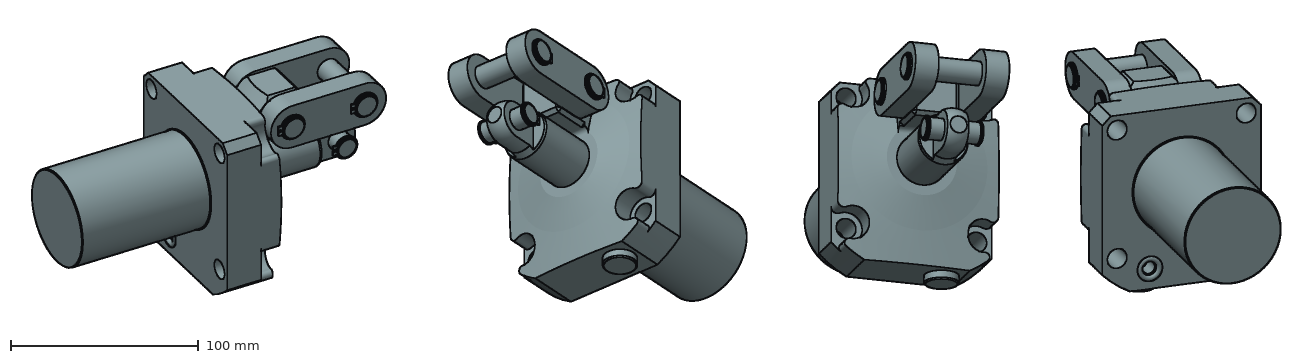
import cadquery as cq
import math


OVERALL_LENGTH = 186.8

FLANGE_HALF = 45.0
FLANGE_BOTTOM = -56.4
FLANGE_CORNER_RADIUS = 63.7
TOP_CHAMFER = 4.9
CYLINDER_RADIUS = 27.5
CYLINDER_LENGTH = 78.8
CYLINDER_CHAMFER = 0.5
COLLAR_RADIUS = 28.0
COLLAR_LENGTH = 0.5

DOME_FLAT = (19.6, 38.5)
DOME_MIDDLE = (38.1, 34.4)
DOME_OUTER = (FLANGE_CORNER_RADIUS, 30.3)

HOLE_OFFSET = 36.6
HOLE_DIAMETER = 11.0
POCKET_FLOOR = 20.7
POCKET_RADIUS = 9.0
POCKET_FILLET = 2.5
LOWER_POCKET_FILLET = 3.4

PORT_X = -18.0
PORT_Z = -45.0
PORT_RADIUS = 3.5
SEAL_RADIUS = 5.6
SEAL_SECTION_RADIUS = 1.7
SEAL_PROUD = 0.5
SEAL_BORE_RADIUS = 7.1
SEAL_BORE_DEPTH = 2.5
PLUG_Y = 17.4
PLUG_RADIUS = 9.3
PLUG_HEIGHT = 4.7
PLUG_CHAMFER = 0.7
PLUG_STEM_RADIUS = 4.7
PLUG_STEM_TOP = -43.1

LINK_RADIUS = 13.0
LINK_THICKNESS = 13.0
LINK_GAP_HALF = 13.3
LINK_Z = FLANGE_HALF - LINK_RADIUS
FULCRUM_Y = 50.5
LINK_END_Y = OVERALL_LENGTH - CYLINDER_LENGTH
LEVER_PIN_Y = LINK_END_Y - LINK_RADIUS
LINK_OUTER = LINK_GAP_HALF + LINK_THICKNESS
LINK_PIN_RADIUS = 6.5
LINK_PIN_HALF = 28.5

RING_THICKNESS = 1.0
RING_WALL = 0.7
EAR_WIDTH = 2.2
EAR_PITCH = 3.4
EAR_REACH = 2.2
PIN_CHAMFER = 0.5

LUG_HALF = LINK_GAP_HALF
LUG_BOTTOM = 17.0
LUG_TOP = FLANGE_HALF
LUG_END_Y = 63.1
LUG_CHAMFER = 2.2
LUG_ROOT_Y = 31.7
LUG_ROOT_FILLET = 2.8
SIDE_ROOT_Y = 35.0
UNDERSIDE_ROOT_Y = DOME_FLAT[1]
UNDERCUT_RADIUS = DOME_MIDDLE[0]
UNDERCUT_Y = 35.9
LINK_CLEARANCE_RADIUS = 14.4

ROD_RADIUS = 14.0
ROD_SHOULDER_Y = 74.5
EYE_RADIUS = 12.1
EYE_NECK_Y = 78.8
EYE_Y = 90.0
EYE_TIP_Y = 101.2
EYE_HALF_THICKNESS = 6.0
EYE_FLAT_START_Y = 75.8
ROD_PIN_RADIUS = 6.0
ROD_PIN_HALF = 16.0
ROD_RING_X = 14.2


def along_y(y_start, x=0, z=0):
    """Sketch plane at y_start with local axes X and Z; a negative extrusion goes to +Y."""
    return cq.Workplane("XZ", origin=(x, y_start, z))


def along_x(x_start):
    """Sketch plane at x_start with local axes Y and Z; an extrusion goes to +X."""
    return cq.Workplane("YZ", origin=(x_start, 0, 0))


def turned(points):
    """Solid of revolution about the Y axis from (radius, Y) points."""
    return cq.Workplane("XY").polyline(points).close().revolve(360, (0, 0), (0, 1))


def arc_middle(center, start, end):
    """Point halfway along the short arc from start to end about center."""
    radius = math.dist(center, start)
    dx = start[0] + end[0] - 2 * center[0]
    dy = start[1] + end[1] - 2 * center[1]
    length = math.hypot(dx, dy)
    return (center[0] + radius * dx / length, center[1] + radius * dy / length)


def point_towards(start, target, distance):
    """Point at the given distance from start on the line to target."""
    ratio = distance / math.dist(start, target)
    return (start[0] + ratio * (target[0] - start[0]), start[1] + ratio * (target[1] - start[1]))


def flange_blank():
    """Flange outline with chamfered upper and arc-shaped lower corners, up to the dome height."""
    corner_z = -math.sqrt(FLANGE_CORNER_RADIUS**2 - FLANGE_HALF**2)
    corner_x = math.sqrt(FLANGE_CORNER_RADIUS**2 - FLANGE_BOTTOM**2)
    chamfer_start = FLANGE_HALF - TOP_CHAMFER
    left_middle = arc_middle((0, 0), (-FLANGE_HALF, corner_z), (-corner_x, FLANGE_BOTTOM))
    right_middle = (-left_middle[0], left_middle[1])
    return (
        along_y(0)
        .moveTo(-chamfer_start, FLANGE_HALF)
        .lineTo(-FLANGE_HALF, chamfer_start)
        .lineTo(-FLANGE_HALF, corner_z)
        .threePointArc(left_middle, (-corner_x, FLANGE_BOTTOM))
        .lineTo(corner_x, FLANGE_BOTTOM)
        .threePointArc(right_middle, (FLANGE_HALF, corner_z))
        .lineTo(FLANGE_HALF, chamfer_start)
        .lineTo(chamfer_start, FLANGE_HALF)
        .close()
        .extrude(-DOME_FLAT[1])
    )


def side_fillet_center(fillet):
    """Centre of the fillet between the +X side face and a pocket at (HOLE_OFFSET, HOLE_OFFSET)."""
    x = FLANGE_HALF - fillet
    rise = math.sqrt((POCKET_RADIUS + fillet) ** 2 - (x - HOLE_OFFSET) ** 2)
    return (x, HOLE_OFFSET - rise)


def corner_pocket(side_fillet, end_fillet_center, end_tangent):
    """Head pocket at the +X+Z corner, open outward between its two entry fillets."""
    hole = (HOLE_OFFSET, HOLE_OFFSET)
    outside = 2 * FLANGE_HALF
    side_center = side_fillet_center(side_fillet)
    side_tangent = (FLANGE_HALF, side_center[1])
    wall_start = point_towards(hole, side_center, POCKET_RADIUS)
    wall_end = point_towards(hole, end_fillet_center, POCKET_RADIUS)
    deepest = point_towards(hole, (0, 0), POCKET_RADIUS)
    return (
        along_y(POCKET_FLOOR)
        .moveTo(*side_tangent)
        .threePointArc(arc_middle(side_center, side_tangent, wall_start), wall_start)
        .threePointArc(deepest, wall_end)
        .threePointArc(arc_middle(end_fillet_center, wall_end, end_tangent), end_tangent)
        .lineTo(end_tangent[0], outside)
        .lineTo(outside, outside)
        .lineTo(outside, side_tangent[1])
        .close()
        .extrude(-DOME_FLAT[1])
    )


def upper_pocket():
    """Pocket at the +X+Z corner, symmetric about the corner diagonal."""
    z, x = side_fillet_center(POCKET_FILLET)
    return corner_pocket(POCKET_FILLET, (x, z), (x, FLANGE_HALF))


def lower_pocket():
    """Pocket at the +X-Z corner; its end fillet runs into the lower corner arc."""
    hole_distance = math.hypot(HOLE_OFFSET, HOLE_OFFSET)
    center_distance = FLANGE_CORNER_RADIUS - POCKET_FILLET
    reach = POCKET_RADIUS + POCKET_FILLET
    cosine = (hole_distance**2 + center_distance**2 - reach**2) / (2 * hole_distance * center_distance)
    angle = math.atan2(HOLE_OFFSET, HOLE_OFFSET) + math.acos(cosine)
    direction = (math.cos(angle), math.sin(angle))
    center = (center_distance * direction[0], center_distance * direction[1])
    tangent = (FLANGE_CORNER_RADIUS * direction[0], FLANGE_CORNER_RADIUS * direction[1])
    return corner_pocket(LOWER_POCKET_FILLET, center, tangent).mirror("XY")


def make_flange():
    dome = turned([(0, 0), (DOME_OUTER[0], 0), DOME_OUTER, DOME_MIDDLE, DOME_FLAT, (0, DOME_FLAT[1])])
    flange = flange_blank().intersect(dome)
    for pocket in (upper_pocket(), lower_pocket()):
        flange = flange.cut(pocket).cut(pocket.mirror("YZ"))
    holes = (
        along_y(0)
        .rect(2 * HOLE_OFFSET, 2 * HOLE_OFFSET, forConstruction=True)
        .vertices()
        .circle(HOLE_DIAMETER / 2)
        .extrude(-DOME_FLAT[1])
    )
    return flange.cut(holes)


def make_cylinder():
    """Cylinder in front of the flange, with a thin collar at its root."""
    rim = CYLINDER_RADIUS - CYLINDER_CHAMFER
    return turned([
        (0, 0),
        (COLLAR_RADIUS, 0),
        (COLLAR_RADIUS, -COLLAR_LENGTH),
        (CYLINDER_RADIUS, -COLLAR_LENGTH),
        (CYLINDER_RADIUS, CYLINDER_CHAMFER - CYLINDER_LENGTH),
        (rim, -CYLINDER_LENGTH),
        (0, -CYLINDER_LENGTH),
    ])


def add_port_and_plug(body):
    """Oil port with a sealing ring, closed from below by a screw plug."""
    port_plane = along_y(0, PORT_X, PORT_Z)
    port = port_plane.circle(PORT_RADIUS).extrude(-PLUG_Y)
    seal_bore = port_plane.circle(SEAL_BORE_RADIUS).extrude(-SEAL_BORE_DEPTH)
    seal_y = SEAL_SECTION_RADIUS - SEAL_PROUD
    seal = cq.Workplane(cq.Solid.makeTorus(
        SEAL_RADIUS, SEAL_SECTION_RADIUS, cq.Vector(PORT_X, seal_y, PORT_Z), cq.Vector(0, 1, 0)))
    stem_height = PLUG_STEM_TOP - FLANGE_BOTTOM
    plug_plane = cq.Workplane("XY", origin=(PORT_X, PLUG_Y, FLANGE_BOTTOM))
    stem = plug_plane.circle(PLUG_STEM_RADIUS).extrude(stem_height)
    head = plug_plane.circle(PLUG_RADIUS).extrude(-PLUG_HEIGHT).faces("<Z").chamfer(PLUG_CHAMFER)
    return body.cut(port).cut(seal_bore).union(seal).union(stem).union(head)


def lug_root():
    """Foot of the lug, widening into the flange with concave sides and a concave underside."""
    top_y = UNDERSIDE_ROOT_Y + LUG_ROOT_FILLET
    foot_half = LUG_HALF + LUG_ROOT_FILLET
    foot_bottom = LUG_BOTTOM - LUG_ROOT_FILLET
    side_top = (LUG_HALF, SIDE_ROOT_Y + LUG_ROOT_FILLET)
    side_foot = (foot_half, SIDE_ROOT_Y)
    side_middle = arc_middle((foot_half, side_top[1]), side_foot, side_top)
    sides = (
        cq.Workplane("XY", origin=(0, 0, foot_bottom))
        .moveTo(0, LUG_ROOT_Y)
        .lineTo(foot_half, LUG_ROOT_Y)
        .lineTo(*side_foot)
        .threePointArc(side_middle, side_top)
        .lineTo(LUG_HALF, top_y)
        .lineTo(0, top_y)
        .mirrorY()
        .extrude(LUG_TOP - foot_bottom)
    )
    under_top = (top_y, LUG_BOTTOM)
    under_foot = (UNDERSIDE_ROOT_Y, foot_bottom)
    under_middle = arc_middle((top_y, foot_bottom), under_foot, under_top)
    underside = (
        along_x(-foot_half)
        .moveTo(LUG_ROOT_Y, LUG_TOP)
        .lineTo(LUG_ROOT_Y, foot_bottom)
        .lineTo(*under_foot)
        .threePointArc(under_middle, under_top)
        .lineTo(top_y, LUG_TOP)
        .close()
        .extrude(2 * foot_half)
    )
    return sides.intersect(underside)


def make_lug():
    """Fulcrum lug between the links, undercut by a 45 degree cone and cleared around the links."""
    width = 2 * LUG_HALF
    height = LUG_TOP - LUG_BOTTOM
    lug = (
        along_y(LUG_ROOT_Y, z=(LUG_TOP + LUG_BOTTOM) / 2)
        .rect(width, height)
        .extrude(LUG_ROOT_Y - LUG_END_Y)
        .edges("|Y or >Y")
        .chamfer(LUG_CHAMFER)
    )
    undercut = turned([
        (0, 0),
        (UNDERCUT_RADIUS, 0),
        (UNDERCUT_RADIUS, UNDERCUT_Y),
        (UNDERCUT_RADIUS + LUG_END_Y - UNDERCUT_Y, LUG_END_Y),
        (0, LUG_END_Y),
    ])
    lug = lug.union(lug_root()).intersect(undercut)
    for side in (1, -1):
        clearance = (
            along_x(side * LUG_HALF)
            .center(FULCRUM_Y, LINK_Z)
            .circle(LINK_CLEARANCE_RADIUS)
            .extrude(side * LINK_THICKNESS)
        )
        lug = lug.cut(clearance)
    bore = along_x(-LUG_HALF).center(FULCRUM_Y, LINK_Z).circle(LINK_PIN_RADIUS).extrude(width)
    return lug.cut(bore)


def make_housing():
    body = make_flange().union(make_lug())
    body = add_port_and_plug(body)
    return body.union(make_cylinder())


def make_pin(y, z, radius, half_length, ring_x):
    """Pin along X with a retaining ring near each end; the ring ears point to -Y."""
    pin = along_x(-half_length).center(y, z).circle(radius).extrude(2 * half_length)
    pin = pin.faces("<X or >X").chamfer(PIN_CHAMFER)
    ear_length = radius + EAR_REACH
    for side in (1, -1):
        plane = along_x(side * ring_x).center(y, z)
        ring = plane.circle(radius + RING_WALL).extrude(side * RING_THICKNESS)
        ears = (
            plane.pushPoints([(-ear_length / 2, EAR_PITCH / 2), (-ear_length / 2, -EAR_PITCH / 2)])
            .rect(ear_length, EAR_WIDTH)
            .extrude(side * RING_THICKNESS)
        )
        pin = pin.union(ring).union(ears)
    return pin


def make_links():
    """The two links, held together by the fulcrum pin and the lever pin."""
    assembly = cq.Workplane("YZ")
    for pin_y in (FULCRUM_Y, LEVER_PIN_Y):
        assembly = assembly.add(make_pin(pin_y, LINK_Z, LINK_PIN_RADIUS, LINK_PIN_HALF, LINK_OUTER))
    for side in (1, -1):
        link = (
            along_x(side * LINK_GAP_HALF)
            .center((FULCRUM_Y + LEVER_PIN_Y) / 2, LINK_Z)
            .slot2D(LEVER_PIN_Y - FULCRUM_Y + 2 * LINK_RADIUS, 2 * LINK_RADIUS)
            .extrude(side * LINK_THICKNESS)
        )
        assembly = assembly.add(link)
    return assembly.combine()


def make_rod():
    """Piston rod with a flattened, ball-ended eye and the rod pin fixed in it."""
    tip_reach = EYE_TIP_Y - EYE_Y
    tip_radius = math.sqrt(EYE_RADIUS**2 - tip_reach**2)
    tip = (tip_radius, EYE_TIP_Y)
    ball_start = (EYE_RADIUS, EYE_Y)
    rod = (
        cq.Workplane("XY")
        .moveTo(0, DOME_FLAT[1])
        .lineTo(ROD_RADIUS, DOME_FLAT[1])
        .lineTo(ROD_RADIUS, ROD_SHOULDER_Y)
        .lineTo(EYE_RADIUS, EYE_NECK_Y)
        .lineTo(*ball_start)
        .threePointArc(arc_middle((0, EYE_Y), ball_start, tip), tip)
        .lineTo(0, EYE_TIP_Y)
        .close()
        .revolve(360, (0, 0), (0, 1))
    )
    for side in (1, -1):
        flat = (
            along_y(EYE_FLAT_START_Y, x=side * (EYE_HALF_THICKNESS + ROD_RADIUS / 2))
            .rect(ROD_RADIUS, 2 * ROD_RADIUS)
            .extrude(EYE_FLAT_START_Y - EYE_TIP_Y)
        )
        rod = rod.cut(flat)
    return rod.union(make_pin(EYE_Y, 0, ROD_PIN_RADIUS, ROD_PIN_HALF, ROD_RING_X))


housing = make_housing()
link_assembly = make_links()
piston_rod = make_rod()

result = cq.Compound.makeCompound([
    housing.solids().val(),
    link_assembly.solids().val(),
    piston_rod.solids().val(),
])